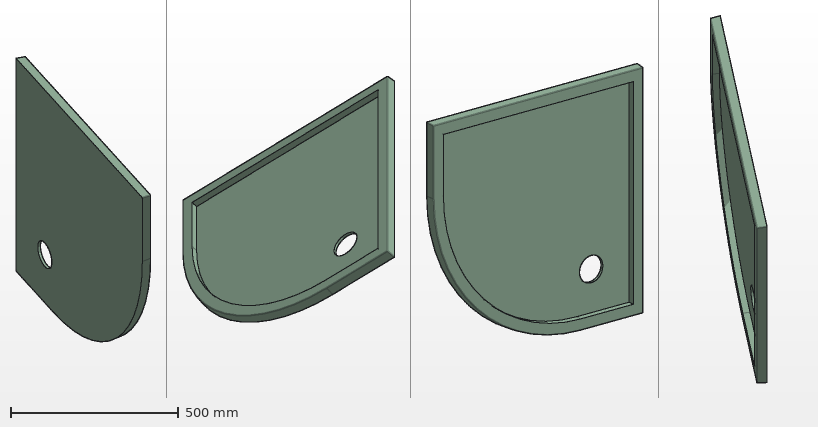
import cadquery as cq
import math

side = 794.0
height = 31.0
corner_radius = 556.0
base_to_rim_inset = 2.8
rim_edge_round = 2.0
side_corner_round = 2.0

border = 40.0
floor_thickness = 9.5

drain_diameter = 87.0
drain_x = 182.0
drain_z = 179.5


def quadrant(inset, base_y):
    """Square outline, inset on every side, with its +X/-Z corner rounded."""
    low = inset
    high = side - inset
    radius = corner_radius - inset
    center_x = high - radius
    center_z = low + radius
    diagonal = radius * math.sqrt(0.5)
    return (
        cq.Workplane("XZ", origin=(0, base_y, 0))
        .moveTo(low, low)
        .lineTo(center_x, low)
        .threePointArc((center_x + diagonal, center_z - diagonal), (high, center_z))
        .lineTo(high, high)
        .lineTo(low, high)
        .close()
    )


taper_angle = math.degrees(math.atan(base_to_rim_inset / height))
body = quadrant(0, 0).extrude(-height, taper=taper_angle)
for corner_x, corner_z in ((0, 0), (0, side), (side, side)):
    corner = (corner_x, height / 2, corner_z)
    body = body.edges(cq.selectors.NearestToPointSelector(corner)).fillet(side_corner_round)
body = body.faces(">Y").edges().fillet(rim_edge_round)

recess = quadrant(border, floor_thickness).extrude(-height)

drain = (
    cq.Workplane("XZ")
    .center(drain_x, drain_z)
    .circle(drain_diameter / 2)
    .extrude(-height)
)

result = body.cut(recess).cut(drain)